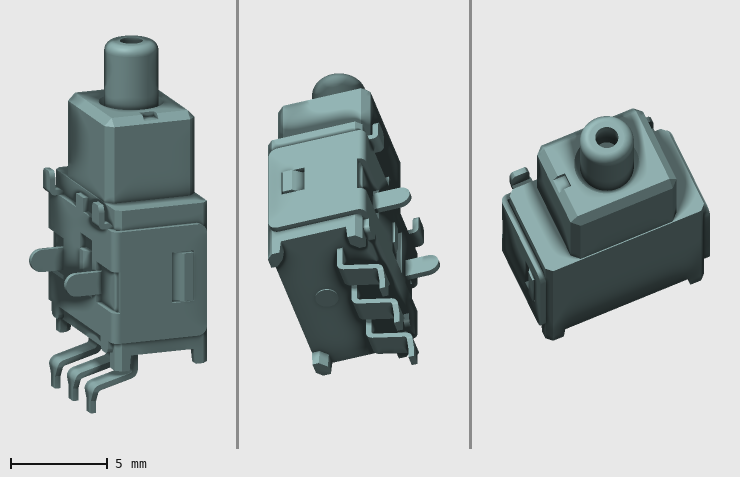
import cadquery as cq
import math


HOUSING_WIDTH = 9.0
HOUSING_DEPTH = 5.11
FOOT_BOTTOM = 2.57
FLOOR = 3.39
SHOULDER = 11.19
HOUSING_CHAMFER = 0.3
FOOT_GAP_X = 7.0
FOOT_GAP_Y = 3.52
FOOT_TAPER = 0.08
FOOT_CHAMFER = 0.38

BOSS_WIDTH = 6.0
BOSS_DEPTH = 5.0
BOSS_TOP = 15.67
BOSS_CHAMFER = 0.4
NOTCH_INNER = 2.2
NOTCH_WIDTH = 0.8
NOTCH_DEPTH = 0.27

FLOOR_PAD_DIAMETER = 1.2
FLOOR_PAD_Y = 0.66
FLOOR_PAD_HEIGHT = 0.05

PLUNGER_DIAMETER = 2.8
PLUNGER_TOP = 18.93
PLUNGER_FILLET = 0.5
PLUNGER_BORE = 1.2
PLUNGER_BORE_DEPTH = 1.9
COUNTERSINK_DIAMETER = 3.37
COUNTERSINK_ANGLE = 90.0

WEDGE_PROTRUSION = 0.105
WEDGE_LENGTH = 1.1
WEDGE_FLAT = 0.51
WEDGE_BOTTOM = 6.66
WEDGE_TOP = 8.15
LONG_WEDGE_BOTTOM = 6.13
LONG_WEDGE_TOP = 8.69
FRONT_WEDGE_X = 0.2
SIDE_WEDGE_Y = 1.55
SIDE_OPENING_GAP = 0.08

SHEET = 0.3
BRACKET_BOTTOM = 4.16
BRACKET_TOP = 10.15
FLANGE_BACK = 2.33
FLANGE_FILLET = 0.5
BEND_RADIUS = 0.4
TAB_WIDTH = 1.0
TAB_X = 3.5
LOWER_TAB_FILLET = 0.3
LOWER_TAB_BOTTOM = 3.43
UPPER_TAB_TOP = 11.43
UPPER_TAB_REACH = 0.5
UPPER_TAB_ROUNDING = 0.38
SHEET_BEND_RADIUS = 0.28
CENTER_TAB_TOP = 10.9
FRONT_OPENING_X = 0.05
FRONT_OPENING_WIDTH = 1.67
FRONT_OPENING_BOTTOM = 5.87
FRONT_OPENING_TOP = 8.95
EAR_INNER_X = 2.35
EAR_WIDTH = 1.2
EAR_TIP = -4.64
EAR_Z = 6.89
EAR_WINDOW_HEIGHT = 2.21

TERMINAL_PITCH = 2.54
TERMINAL_WIDTH = 1.2
TERMINAL_TIP_WIDTH = 0.6
TERMINAL_THICKNESS = 0.3
TERMINAL_ROOT_FRONT = -1.15
TERMINAL_TIP_FRONT = -3.35
TERMINAL_SLOPE = 15.0
TERMINAL_KNEE = 2.06
TERMINAL_INNER_RADIUS = 0.19
TERMINAL_OUTER_RADIUS = TERMINAL_INNER_RADIUS + TERMINAL_THICKNESS
TAPER_TOP = 1.15
TAPER_BOTTOM = 0.66
TAPER_FILLET = 0.3
TERMINAL_EMBED = 0.38

HOUSING_SIDE = HOUSING_WIDTH / 2
HOUSING_FRONT = -HOUSING_DEPTH / 2
PLATE_FRONT = HOUSING_FRONT - SHEET
WEDGE_HEIGHT = SHEET + WEDGE_PROTRUSION


def block(x0, x1, y0, y1, z0, z1):
    """A box given by its limits along each axis."""
    return cq.Workplane("XY").box(x1 - x0, y1 - y0, z1 - z0, centered=False).translate((x0, y0, z0))


def foot_channel(plane, gap, length):
    """A flared channel under the floor, which leaves feet on both sides of it."""
    top = gap / 2
    bottom = top + FOOT_TAPER
    outline = [(-bottom, FOOT_BOTTOM), (bottom, FOOT_BOTTOM), (top, FLOOR), (-top, FLOOR)]
    return cq.Workplane(plane).polyline(outline).close().extrude(length / 2, both=True)


def side_wedge(side, bottom, top):
    """Snap wedge on the side face at +X or -X, sloping down towards the front."""
    root = side * HOUSING_SIDE
    crest = side * (HOUSING_SIDE + WEDGE_HEIGHT)
    outline = [
        (root, SIDE_WEDGE_Y),
        (crest, SIDE_WEDGE_Y),
        (crest, SIDE_WEDGE_Y - WEDGE_FLAT),
        (root, SIDE_WEDGE_Y - WEDGE_LENGTH),
    ]
    return cq.Workplane("XY").workplane(offset=bottom).polyline(outline).close().extrude(top - bottom)


def front_wedge():
    """Snap wedge on the front face, sloping down towards +X."""
    crest = HOUSING_FRONT - WEDGE_HEIGHT
    outline = [
        (FRONT_WEDGE_X, HOUSING_FRONT),
        (FRONT_WEDGE_X, crest),
        (FRONT_WEDGE_X + WEDGE_FLAT, crest),
        (FRONT_WEDGE_X + WEDGE_LENGTH, HOUSING_FRONT),
    ]
    height = WEDGE_TOP - WEDGE_BOTTOM
    return cq.Workplane("XY").workplane(offset=WEDGE_BOTTOM).polyline(outline).close().extrude(height)


def terminal(x):
    """One bent terminal, with a tip narrower than its root."""
    slope = math.tan(math.radians(TERMINAL_SLOPE))
    drop = TERMINAL_THICKNESS / math.cos(math.radians(TERMINAL_SLOPE))
    root_back = TERMINAL_ROOT_FRONT + TERMINAL_THICKNESS
    tip_back = TERMINAL_TIP_FRONT + TERMINAL_THICKNESS
    root_top = FLOOR + TERMINAL_EMBED

    def slant_top(y):
        return TERMINAL_KNEE + (y - TERMINAL_ROOT_FRONT) * slope

    side_outline = [
        (TERMINAL_ROOT_FRONT, root_top),
        (TERMINAL_ROOT_FRONT, slant_top(TERMINAL_ROOT_FRONT)),
        (TERMINAL_TIP_FRONT, slant_top(TERMINAL_TIP_FRONT)),
        (TERMINAL_TIP_FRONT, 0),
        (tip_back, 0),
        (tip_back, slant_top(tip_back) - drop),
        (root_back, slant_top(root_back) - drop),
        (root_back, root_top),
    ]
    strip = cq.Workplane("YZ").polyline(side_outline).close().extrude(TERMINAL_WIDTH / 2, both=True)
    bends = [
        (side_outline[1], TERMINAL_INNER_RADIUS),
        (side_outline[2], TERMINAL_OUTER_RADIUS),
        (side_outline[5], TERMINAL_INNER_RADIUS),
        (side_outline[6], TERMINAL_OUTER_RADIUS),
    ]
    for (y, z), radius in bends:
        strip = strip.edges(cq.selectors.NearestToPointSelector((0, y, z))).fillet(radius)

    wide = TERMINAL_WIDTH / 2
    narrow = TERMINAL_TIP_WIDTH / 2
    front_outline = [
        (-narrow, 0),
        (narrow, 0),
        (narrow, TAPER_BOTTOM),
        (wide, TAPER_TOP),
        (wide, root_top),
        (-wide, root_top),
        (-wide, TAPER_TOP),
        (-narrow, TAPER_BOTTOM),
    ]
    blank = cq.Workplane("XZ").polyline(front_outline).close().extrude(-TERMINAL_TIP_FRONT)
    for corner in (-wide, wide):
        shoulder = cq.selectors.NearestToPointSelector((corner, TERMINAL_TIP_FRONT / 2, TAPER_TOP))
        blank = blank.edges(shoulder).fillet(TAPER_FILLET)
    return strip.intersect(blank).translate((x, 0, 0))


def make_housing():
    """Housing with its boss, feet, snap wedges and moulded-in terminals."""
    body = (
        cq.Workplane("XY")
        .workplane(offset=FOOT_BOTTOM)
        .rect(HOUSING_WIDTH, HOUSING_DEPTH)
        .extrude(SHOULDER - FOOT_BOTTOM)
        .edges("|Z")
        .chamfer(HOUSING_CHAMFER)
        .cut(foot_channel("XZ", FOOT_GAP_X, HOUSING_DEPTH))
        .cut(foot_channel("YZ", FOOT_GAP_Y, HOUSING_WIDTH))
    )
    for side_x in (-1, 1):
        for side_y in (-1, 1):
            inner_corner = (side_x * FOOT_GAP_X / 2, side_y * FOOT_GAP_Y / 2, (FLOOR + FOOT_BOTTOM) / 2)
            body = body.edges(cq.selectors.NearestToPointSelector(inner_corner)).chamfer(FOOT_CHAMFER)

    boss = (
        cq.Workplane("XY")
        .workplane(offset=SHOULDER)
        .rect(BOSS_WIDTH, BOSS_DEPTH)
        .extrude(BOSS_TOP - SHOULDER)
        .edges("|Z or >Z")
        .chamfer(BOSS_CHAMFER)
    )
    notch = block(
        NOTCH_INNER, BOSS_WIDTH / 2, -NOTCH_WIDTH / 2, NOTCH_WIDTH / 2, BOSS_TOP - NOTCH_DEPTH, BOSS_TOP
    )
    body = body.union(boss.cut(notch))

    body = (
        body.faces(">Z")
        .workplane(origin=(0, 0, BOSS_TOP))
        .cskHole(PLUNGER_DIAMETER, COUNTERSINK_DIAMETER, COUNTERSINK_ANGLE, BOSS_TOP - SHOULDER)
    )

    floor_pad = (
        cq.Workplane("XY")
        .workplane(offset=FLOOR - FLOOR_PAD_HEIGHT)
        .center(0, FLOOR_PAD_Y)
        .circle(FLOOR_PAD_DIAMETER / 2)
        .extrude(2 * FLOOR_PAD_HEIGHT)
    )
    body = body.union(floor_pad)

    body = body.union(front_wedge())
    body = body.union(side_wedge(-1, WEDGE_BOTTOM, WEDGE_TOP))
    body = body.union(side_wedge(1, LONG_WEDGE_BOTTOM, LONG_WEDGE_TOP))

    for i in (-1, 0, 1):
        body = body.union(terminal(i * TERMINAL_PITCH))
    return body


def make_plunger():
    """Round plunger with a rounded top and a blind bore."""
    return (
        cq.Workplane("XY")
        .workplane(offset=SHOULDER)
        .circle(PLUNGER_DIAMETER / 2)
        .extrude(PLUNGER_TOP - SHOULDER)
        .faces(">Z")
        .edges()
        .fillet(PLUNGER_FILLET)
        .faces(">Z")
        .workplane()
        .hole(PLUNGER_BORE, PLUNGER_BORE_DEPTH)
    )


def lower_tab(x):
    """Flat tab below the front plate, rounded at its lower corners."""
    half = TAB_WIDTH / 2
    tab = block(x - half, x + half, PLATE_FRONT, HOUSING_FRONT, LOWER_TAB_BOTTOM, BRACKET_BOTTOM)
    return tab.edges("|Y and <Z").fillet(LOWER_TAB_FILLET)


def upper_tab(x):
    """Tab above the front plate, bent forwards and then up, with a round end cut off flat."""
    half = TAB_WIDTH / 2
    front = PLATE_FRONT - UPPER_TAB_REACH
    leg_top = BRACKET_TOP + SHEET
    leg = block(x - half, x + half, front, HOUSING_FRONT, BRACKET_TOP, leg_top)
    leg = leg.edges("|X and >Y and >Z").fillet(SHEET_BEND_RADIUS)
    tongue = block(x - half, x + half, front, front + SHEET, BRACKET_TOP, UPPER_TAB_TOP)
    round_center = UPPER_TAB_TOP - UPPER_TAB_ROUNDING
    rounding = (
        cq.Workplane("XZ")
        .workplane(offset=-front)
        .moveTo(x - half, BRACKET_TOP)
        .lineTo(x - half, round_center)
        .threePointArc((x, round_center + half), (x + half, round_center))
        .lineTo(x + half, BRACKET_TOP)
        .close()
        .extrude(-SHEET)
    )
    tongue = tongue.intersect(rounding)
    tab = leg.union(tongue)
    return tab.edges("|X and <Y and <Z").fillet(SHEET_BEND_RADIUS)


def ear(side):
    """Ear at one side of the front plate, bent forwards and ending in a half circle."""
    inner = side * EAR_INNER_X
    outer = side * (EAR_INNER_X + SHEET)
    half = EAR_WIDTH / 2
    round_start = EAR_TIP + half
    blade = (
        cq.Workplane("YZ")
        .workplane(offset=inner)
        .moveTo(HOUSING_FRONT, EAR_Z + half)
        .lineTo(round_start, EAR_Z + half)
        .threePointArc((EAR_TIP, EAR_Z), (round_start, EAR_Z - half))
        .lineTo(HOUSING_FRONT, EAR_Z - half)
        .close()
        .extrude(outer - inner)
    )
    bend = blade.edges(cq.selectors.NearestToPointSelector((outer, HOUSING_FRONT, EAR_Z)))
    return bend.fillet(SHEET_BEND_RADIUS)


def make_bracket():
    """U-shaped sheet bracket around the front and both sides of the housing."""
    outer_side = HOUSING_SIDE + SHEET
    wrap = block(-outer_side, outer_side, PLATE_FRONT, FLANGE_BACK, BRACKET_BOTTOM, BRACKET_TOP)
    wrap = wrap.edges("|Z and <Y").fillet(BEND_RADIUS)
    wrap = wrap.edges("|X and >Y").fillet(FLANGE_FILLET)
    wrap = wrap.cut(
        block(-HOUSING_SIDE, HOUSING_SIDE, HOUSING_FRONT, FLANGE_BACK, BRACKET_BOTTOM, BRACKET_TOP)
    )

    wrap = wrap.cut(
        block(
            FRONT_OPENING_X,
            FRONT_OPENING_X + FRONT_OPENING_WIDTH,
            PLATE_FRONT,
            HOUSING_FRONT,
            FRONT_OPENING_BOTTOM,
            FRONT_OPENING_TOP,
        )
    )

    for side, bottom, top in ((-1, WEDGE_BOTTOM, WEDGE_TOP), (1, LONG_WEDGE_BOTTOM, LONG_WEDGE_TOP)):
        opening = cq.Workplane("XY").box(
            2 * SHEET, WEDGE_LENGTH + 2 * SIDE_OPENING_GAP, top - bottom + 2 * SIDE_OPENING_GAP
        )
        center = (side * (HOUSING_SIDE + SHEET / 2), SIDE_WEDGE_Y - WEDGE_LENGTH / 2, (top + bottom) / 2)
        wrap = wrap.cut(opening.translate(center))

    half_window = EAR_WINDOW_HEIGHT / 2
    for side in (-1, 1):
        near, far = sorted((side * EAR_INNER_X, side * outer_side))
        window = block(
            near, far, PLATE_FRONT, PLATE_FRONT + BEND_RADIUS, EAR_Z - half_window, EAR_Z + half_window
        )
        wrap = wrap.cut(window)
        wrap = wrap.union(ear(side))
        wrap = wrap.union(lower_tab(side * TAB_X))
        wrap = wrap.union(upper_tab(side * TAB_X))

    center_tab = block(
        -TAB_WIDTH / 2, TAB_WIDTH / 2, PLATE_FRONT, HOUSING_FRONT, BRACKET_TOP, CENTER_TAB_TOP
    )
    return wrap.union(center_tab)


housing = make_housing()
plunger = make_plunger()
bracket = make_bracket()
result = cq.Compound.makeCompound([body.solids().val() for body in (housing, plunger, bracket)])